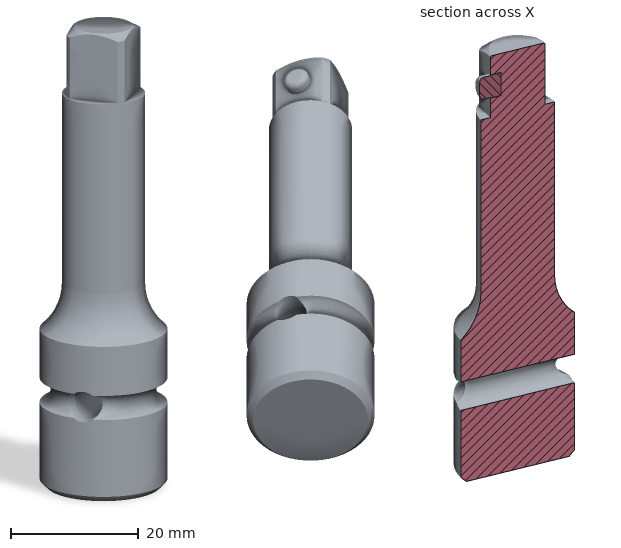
import cadquery as cq
import math

total_height = 75.0

body_radius = 10.0
body_top = 25.5
bottom_chamfer = 1.0

shaft_radius = 6.5
shaft_top = 64.0
flare_radius = 10.0

groove_height = 15.5
groove_radius = 2.0
groove_depth = 1.7
pin_hole_diameter = 5.0

square_width = 9.6
square_corner_radius = 6.2
tip_radius = 4.5
tip_angle = 30.0

button_diameter = 4.0
button_height = 69.5
button_tip = 6.7
button_seat = 3.0
button_edge_radius = 0.8


def make_turned_blank():
    """Socket end, flare and shaft, turned about Z."""
    flare_center_radius = shaft_radius + flare_radius
    flare_sweep = math.acos((flare_center_radius - body_radius) / flare_radius)
    flare_top = body_top + flare_radius * math.sin(flare_sweep)
    flare_mid_radius = flare_center_radius - flare_radius * math.cos(flare_sweep / 2)
    flare_mid_height = flare_top - flare_radius * math.sin(flare_sweep / 2)
    return (
        cq.Workplane("XZ")
        .lineTo(body_radius - bottom_chamfer, 0)
        .lineTo(body_radius, bottom_chamfer)
        .lineTo(body_radius, body_top)
        .threePointArc((flare_mid_radius, flare_mid_height), (shaft_radius, flare_top))
        .lineTo(shaft_radius, shaft_top)
        .lineTo(0, shaft_top)
        .close()
        .revolve(360, (0, 0), (0, 1))
    )


def make_groove():
    """Ring of round section that cuts the retaining groove."""
    ring_radius = body_radius - groove_depth + groove_radius
    return (
        cq.Workplane("XZ")
        .center(ring_radius, groove_height)
        .circle(groove_radius)
        .revolve(360, (-ring_radius, 0), (-ring_radius, 1))
    )


def make_pin_hole():
    """Cylinder through the socket end along Y."""
    return (
        cq.Workplane("XZ")
        .center(0, groove_height)
        .circle(pin_hole_diameter / 2)
        .extrude(body_radius, both=True)
    )


def make_square_drive():
    """Square with rounded corners and a conical tip."""
    square_length = total_height - shaft_top
    tip_drop = (square_corner_radius - tip_radius) * math.tan(math.radians(tip_angle))
    envelope = (
        cq.Workplane("XZ")
        .moveTo(0, shaft_top)
        .lineTo(square_corner_radius, shaft_top)
        .lineTo(square_corner_radius, total_height - tip_drop)
        .lineTo(tip_radius, total_height)
        .lineTo(0, total_height)
        .close()
        .revolve(360, (0, 0), (0, 1))
    )
    square = (
        cq.Workplane("XY", origin=(0, 0, shaft_top))
        .rect(square_width, square_width)
        .extrude(square_length)
    )
    return square.intersect(envelope)


def make_button():
    """Detent button along +Y with a rounded outer edge."""
    return (
        cq.Workplane("XZ", origin=(0, button_seat, button_height))
        .circle(button_diameter / 2)
        .extrude(-(button_tip - button_seat))
        .faces(">Y")
        .edges()
        .fillet(button_edge_radius)
    )


button = make_button()
extension_bar = (
    make_turned_blank()
    .union(make_square_drive())
    .cut(make_groove())
    .cut(make_pin_hole())
    .cut(button)
)

result = cq.Compound.makeCompound([extension_bar.val(), button.val()])